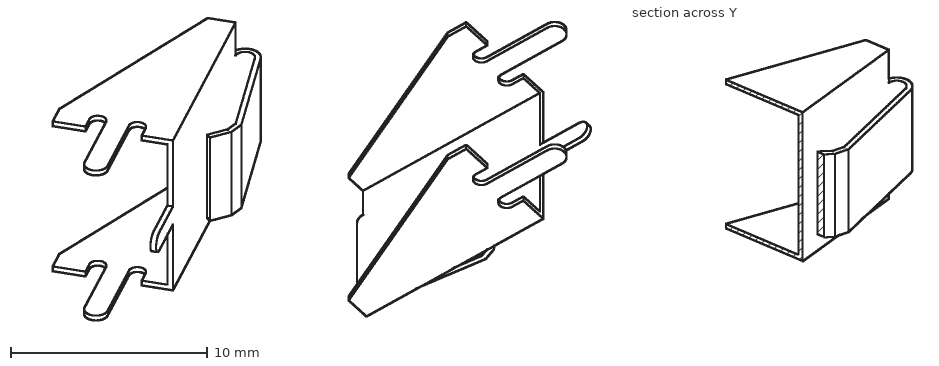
import cadquery as cq
import math


thickness = 0.3
channel_width = 6.38
channel_length = 11.43
channel_height = 9.13

flange_top_width = 1.48
flange_side_length = 1.2

flange_pin_x = 3.23
flange_pin_width = 1.22
flange_pin_reach = 3.8
relief_width = 0.88
relief_depth = 1.16

web_pin_width = 1.1
web_pin_reach = 3.07

spring_width = 5.08
curl_outer_radius = 0.8
leg_heading = 7.15
leg_length = 6.23
knee_heading = -20.5
knee_length = 0.82
tail_heading = -48.0
tail_length = 1.24

web_inner_x = channel_width - thickness


def pin_outline(plane, center, width, reach):
    """Round-ended pin outline running from the channel edge to -Y."""
    radius = width / 2
    return (
        cq.Workplane(plane)
        .moveTo(center - radius, 0)
        .lineTo(center - radius, radius - reach)
        .threePointArc((center, -reach), (center + radius, radius - reach))
        .lineTo(center + radius, 0)
    )


def make_flange():
    """Flange plate with its pin, lying on Z = 0 and growing upward."""
    plate = (
        cq.Workplane("XY")
        .polyline([
            (0, 0),
            (channel_width, 0),
            (channel_width, channel_length),
            (channel_width - flange_top_width, channel_length),
            (0, flange_side_length),
        ])
        .close()
        .extrude(thickness)
    )
    relief_radius = relief_width / 2
    relief_offset = (flange_pin_width + relief_width) / 2
    for side in (-1, 1):
        relief_x = flange_pin_x + side * relief_offset
        relief = (
            cq.Workplane("XY")
            .moveTo(relief_x - relief_radius, 0)
            .lineTo(relief_x - relief_radius, relief_depth - relief_radius)
            .threePointArc(
                (relief_x, relief_depth),
                (relief_x + relief_radius, relief_depth - relief_radius),
            )
            .lineTo(relief_x + relief_radius, 0)
            .close()
            .extrude(thickness)
        )
        plate = plate.cut(relief)
    pin = pin_outline("XY", flange_pin_x, flange_pin_width, flange_pin_reach).close().extrude(thickness)
    return plate.union(pin)


def make_web():
    """Flat web joining the flanges, with a single pin at mid height."""
    plate = cq.Workplane("XY").box(
        thickness, channel_length, channel_height, centered=(False, False, True)
    )
    pin = pin_outline("ZY", 0, web_pin_width, web_pin_reach).close().extrude(-thickness)
    return plate.union(pin).translate((web_inner_x, 0, 0))


def step(point, heading, length):
    """Point reached by moving a given length along a heading."""
    angle = math.radians(heading)
    return (point[0] + length * math.sin(angle), point[1] - length * math.cos(angle))


def inner_point(outer, heading_in, heading_out):
    """Inner-face point opposite an outer corner between two straight strips."""
    middle = math.radians((heading_in + heading_out) / 2)
    half_turn = math.radians((heading_in - heading_out) / 2)
    miter = thickness / math.cos(half_turn)
    return (outer[0] - miter * math.cos(middle), outer[1] - miter * math.sin(middle))


def make_spring():
    """Spring finger curled over the web end and folded back along its outside."""
    curl_x = web_inner_x + curl_outer_radius
    curl_inner_radius = curl_outer_radius - thickness

    def curl_point(radius, degrees):
        angle = math.radians(degrees)
        return (curl_x + radius * math.cos(angle), channel_length + radius * math.sin(angle))

    leg_start = curl_point(curl_outer_radius, leg_heading)
    leg_end = step(leg_start, leg_heading, leg_length)
    knee_end = step(leg_end, knee_heading, knee_length)
    tail_end = step(knee_end, tail_heading, tail_length)
    return (
        cq.Workplane("XY")
        .moveTo(*curl_point(curl_outer_radius, 180))
        .threePointArc(curl_point(curl_outer_radius, 90), leg_start)
        .lineTo(*leg_end)
        .lineTo(*knee_end)
        .lineTo(*tail_end)
        .lineTo(*inner_point(tail_end, tail_heading, tail_heading))
        .lineTo(*inner_point(knee_end, knee_heading, tail_heading))
        .lineTo(*inner_point(leg_end, leg_heading, knee_heading))
        .lineTo(*curl_point(curl_inner_radius, leg_heading))
        .threePointArc(curl_point(curl_inner_radius, 90), curl_point(curl_inner_radius, 180))
        .close()
        .extrude(spring_width / 2, both=True)
    )


flange = make_flange()
lower_flange = flange.translate((0, 0, -channel_height / 2))
upper_flange = flange.translate((0, 0, channel_height / 2 - thickness))

result = make_web().union(lower_flange).union(upper_flange).union(make_spring())